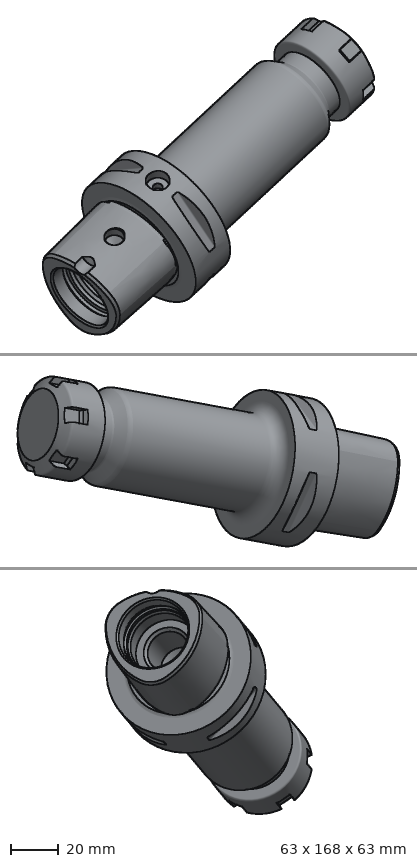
import cadquery as cq
import math


shank_length = 38.0
flange_width = 22.0
nut_length = 20.0
total_length = 168.0
nut_front = total_length - shank_length
nut_back = nut_front - nut_length
spigot_engagement = 13.5
spigot_end = nut_back + spigot_engagement

flange_radius = 31.5
barrel_radius = 21.0
neck_radius = 15.8
flange_fillet = 5.5
shoulder_start = 97.6
shoulder_end = shoulder_start + barrel_radius - neck_radius
shoulder_edge_fillet = 3.0
neck_fillet = 1.0

lobe_centre = 10.8
lobe_radius = 12.8
taper = 1 / 40
end_chamfer_length = 1.5
end_chamfer_depth = 0.8
relief_length = 1.7
relief_flare = 0.7
relief_radius = 22.3
relief_depth = 0.2
root_ring_radius = 24.0
root_fillet = 3.0

mouth_radius = 16.0
mouth_chamfer = 0.8
entry_end_radius = 14.6
entry_end = 6.4
groove_radius = 15.3
groove_wall = 0.7
groove_end = 9.5
throat_radius = 14.3
throat_end = 11.5
counterbore_radius = 13.6
counterbore_start = 13.1
counterbore_depth = 21.2
bolt_chamfer_radius = 10.2
bolt_radius = 8.9
bolt_depth = 42.0
drill_half_angle = math.radians(59)
drill_lead = 1.7

flange_hole_radius = 5.0
flange_hole_depth = 5.0
pilot_radius = 2.1
pilot_depth = 3.4
shank_hole_y = -15.6
shank_hole_radius = 4.2
shank_hole_depth = 4.7
shank_hole_chamfer = 0.3
notch_radius = 4.4
notch_axis_z = 22.2
notch_length = 6.0
notch_half_angle = math.radians(45)

slot_centre_y = 12.01
slot_floor_distance = 27.9
slot_floor_width = 3.5
slot_mouth_width = 7.7
slot_fillet = 0.8
slot_count = 4

nut_radius = 21.0
nut_face_radius = 15.3
nut_cone_length = 3.4
nut_front_fillet = 1.3
nut_back_fillet = 0.8
spanner_slot_count = 6
spanner_slot_width = 6.5
spanner_floor_radius = 17.6
spanner_slot_length = 11.1
spanner_end_slope = 1.0
spanner_corner = 1.2


def turned(points, plane="XY"):
    """Solid of revolution about the plane's Y axis from (radius, y) points."""
    return cq.Workplane(plane).polyline(points).close().revolve(360, (0, 0), (0, 1))


def around_axis(tool, angle):
    return tool.rotate((0, 0, 0), (0, 1, 0), angle)


def circle_edge(body, radius, y):
    """The circular edges of a turned body with the given radius and position."""
    tolerance = 0.02
    return body.edges("%CIRCLE").filter(
        lambda edge: abs(edge.radius() - radius) < tolerance and abs(edge.Center().y - y) < tolerance
    )


def drill(plane, radius, depth, half_angle):
    """A drill along the plane's local Y: a cylinder with a conical point beyond its full depth.

    It also reaches a little back out of the hole, to cut clear of the surface.
    """
    tip = depth + radius / math.tan(half_angle)
    profile = [(0, -drill_lead), (radius, -drill_lead), (radius, depth), (0, tip)]
    return turned(profile, plane)


def down_plane(y, z):
    """A plane at (0, y, z) whose local Y axis points to -Z."""
    return cq.Plane(origin=(0, y, z), xDir=(1, 0, 0), normal=(0, 1, 0))


def lobed_outline(y, inset):
    """Three lobe arcs joined tangentially by three flatter arcs; one flat faces +Z, normal is -Y."""
    small = lobe_radius - inset
    large = small + lobe_centre * math.sqrt(3)

    def point(lobe, radius, direction):
        a = math.radians(lobe)
        b = math.radians(direction)
        return (
            lobe_centre * math.cos(a) + radius * math.cos(b),
            lobe_centre * math.sin(a) + radius * math.sin(b),
        )

    outline = cq.Workplane("XZ", origin=(0, y, 0)).moveTo(*point(30, small, 0))
    for lobe in (30, 150, 270):
        outline = outline.threePointArc(point(lobe, small, lobe), point(lobe, small, lobe + 30))
        opposite = lobe + 240
        outline = outline.threePointArc(
            point(opposite, large, lobe + 60), point(opposite, large, lobe + 90)
        )
    return outline.close()


def tapered_lobes(y_start, y_end, inset_start, inset_end):
    """The lobed shank between two positions, with its outline moved inwards by the given insets."""
    start = lobed_outline(y_start, inset_start).wires().val()
    end = lobed_outline(y_end, inset_end).wires().val()
    return cq.Workplane(cq.Solid.makeLoft([start, end], True))


def holder_exterior():
    body = turned([
        (0, 0),
        (flange_radius, 0),
        (flange_radius, flange_width),
        (barrel_radius, flange_width),
        (barrel_radius, shoulder_start),
        (neck_radius, shoulder_end),
        (neck_radius, spigot_end),
        (0, spigot_end),
    ])
    body = circle_edge(body, barrel_radius, flange_width).fillet(flange_fillet)
    body = circle_edge(body, barrel_radius, shoulder_start).fillet(shoulder_edge_fillet)
    return circle_edge(body, neck_radius, shoulder_end).fillet(neck_fillet)


def shank_exterior():
    """Root ring, turned relief, tapered lobes and end chamfer."""
    chamfer_y = end_chamfer_length - shank_length
    relief_inset = relief_length * taper + relief_depth
    chamfer_inset = (shank_length - end_chamfer_length) * taper
    ring_width = root_ring_radius - relief_radius
    ring_height = root_fillet - math.sqrt(root_fillet**2 - ring_width**2)
    ring = (
        cq.Workplane("XY")
        .lineTo(root_ring_radius, 0)
        .radiusArc((relief_radius, -ring_height), -root_fillet)
        .lineTo(0, -ring_height)
        .close()
        .revolve(360, (0, 0), (0, 1))
    )
    relief = tapered_lobes(0, -relief_length, relief_inset, relief_inset).intersect(
        cq.Workplane("XZ").circle(relief_radius).extrude(relief_length)
    )
    flare_end = relief_length + relief_flare
    flare = tapered_lobes(-relief_length, -flare_end, relief_inset, flare_end * taper)
    lobes = tapered_lobes(-flare_end, chamfer_y, flare_end * taper, chamfer_inset)
    end = tapered_lobes(chamfer_y, -shank_length, chamfer_inset, chamfer_inset + end_chamfer_depth)
    return ring.union(relief).union(flare).union(lobes).union(end)


def bore():
    """Stepped blind bore from the shank end, down to a drilled point."""
    profile = [
        (0, 0),
        (mouth_radius, 0),
        (mouth_radius - mouth_chamfer, mouth_chamfer),
        (entry_end_radius, entry_end),
        (groove_radius, entry_end + groove_wall),
        (groove_radius, groove_end - groove_wall),
        (throat_radius, groove_end),
        (throat_radius, throat_end),
        (counterbore_radius, counterbore_start),
        (counterbore_radius, counterbore_depth),
        (bolt_chamfer_radius, counterbore_depth),
        (bolt_radius, counterbore_depth + bolt_chamfer_radius - bolt_radius),
        (bolt_radius, bolt_depth),
        (0, bolt_depth + bolt_radius / math.tan(drill_half_angle)),
    ]
    return turned([(radius, depth - shank_length) for radius, depth in profile])


def flange_hole():
    """Flat-bottomed hole with a drilled pilot in its floor."""
    recess = cq.Workplane("XY", origin=(0, slot_centre_y, flange_radius)).circle(flange_hole_radius)
    recess = recess.extrude(-flange_hole_depth)
    floor = down_plane(slot_centre_y, flange_radius - flange_hole_depth)
    pilot = drill(floor, pilot_radius, pilot_depth, drill_half_angle)
    return recess.union(pilot)


def shank_hole():
    """Drilled blind hole in the flat side of the shank, with a chamfered rim."""
    surface_z = lobe_radius + lobe_centre * (math.sqrt(3) - 1) + shank_hole_y * taper
    hole = drill(down_plane(shank_hole_y, surface_z), shank_hole_radius, shank_hole_depth, drill_half_angle)
    rim_top = shank_hole_radius + shank_hole_chamfer + drill_lead
    countersink = [(0, -drill_lead), (rim_top, -drill_lead), (0, rim_top - drill_lead)]
    return hole.union(turned(countersink, down_plane(shank_hole_y, surface_z)))


def end_notch():
    """Round-bottomed key notch drilled into the shank end along the axis."""
    plane = cq.Plane(origin=(0, -shank_length, notch_axis_z), xDir=(1, 0, 0), normal=(0, 0, 1))
    return drill(plane, notch_radius, notch_length, notch_half_angle)


def gripper_slots():
    """Flat-floored slots with sloping sides, spaced evenly around the flange at 45 degrees."""
    half_floor = slot_floor_width / 2
    half_mouth = slot_mouth_width / 2
    slot = (
        cq.Workplane("YZ")
        .polyline([
            (slot_centre_y - half_floor, slot_floor_distance),
            (slot_centre_y + half_floor, slot_floor_distance),
            (slot_centre_y + half_mouth, flange_radius),
            (slot_centre_y - half_mouth, flange_radius),
        ])
        .close()
        .extrude(flange_radius, both=True)
        .faces("<Z")
        .edges("|X")
        .fillet(slot_fillet)
    )
    return [around_axis(slot, 45 + index * 360 / slot_count) for index in range(slot_count)]


def make_holder():
    holder = holder_exterior().union(shank_exterior())
    for cutter in [bore(), flange_hole(), shank_hole(), end_notch(), *gripper_slots()]:
        holder = holder.cut(cutter)
    return holder


def spanner_slots():
    """Open slots in the nut's front edge; each ends in a bevelled corner and a sloping wall."""
    outside = nut_radius + spanner_end_slope
    wall_foot = spanner_slot_length - spanner_end_slope
    profile = [
        (spanner_floor_radius, 0),
        (spanner_floor_radius, wall_foot - spanner_corner),
        (spanner_floor_radius + spanner_corner, wall_foot),
        (nut_radius, spanner_slot_length),
        (outside, spanner_slot_length),
        (outside, 0),
    ]
    slot = (
        cq.Workplane("XY")
        .polyline([(radius, nut_front - depth) for radius, depth in profile])
        .close()
        .extrude(spanner_slot_width / 2, both=True)
    )
    return [around_axis(slot, index * 360 / spanner_slot_count) for index in range(spanner_slot_count)]


def make_nut():
    """Nut with a conical front, screwed over the end of the holder's neck."""
    cone_back = nut_front - nut_cone_length
    nut = turned([
        (0, nut_back),
        (nut_radius, nut_back),
        (nut_radius, cone_back),
        (nut_face_radius, nut_front),
        (0, nut_front),
    ])
    nut = circle_edge(nut, nut_radius, cone_back).fillet(nut_front_fillet)
    nut = circle_edge(nut, nut_radius, nut_back).fillet(nut_back_fillet)
    socket = cq.Workplane("XZ", origin=(0, nut_back, 0)).circle(neck_radius).extrude(-spigot_engagement)
    for cutter in [socket, *spanner_slots()]:
        nut = nut.cut(cutter)
    return nut


holder = make_holder()
nut = make_nut()
result = cq.Compound.makeCompound([holder.val(), nut.val()])